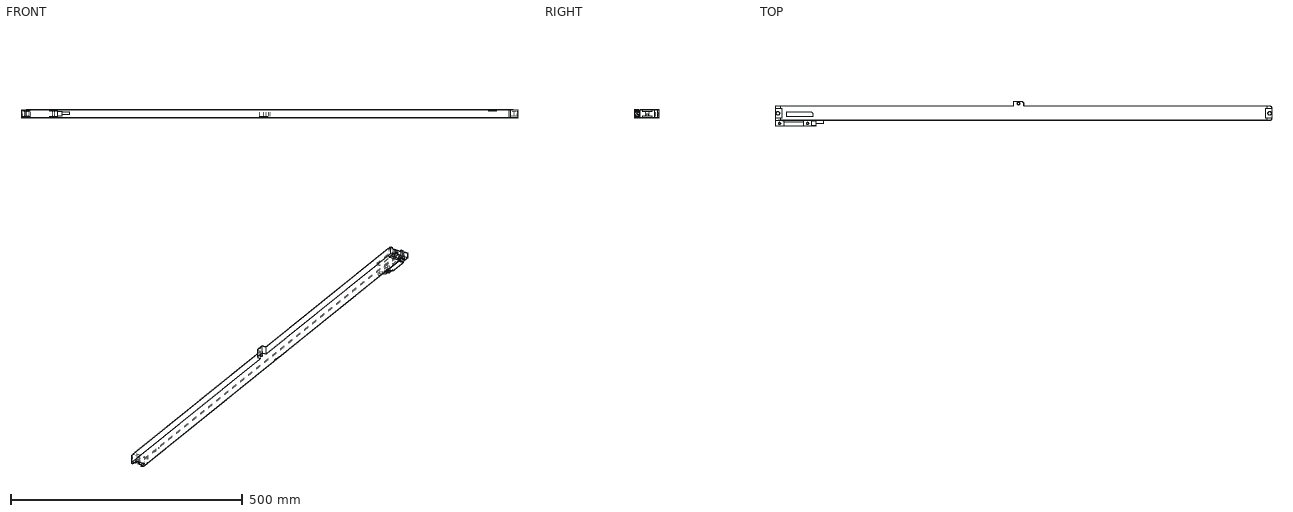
import cadquery as cq

LENGTH = 1075.0
RAIL_WIDTH = 32.0
HEIGHT = 18.0
FRONT_EDGE_CHAMFER = 1.0

LUG_WIDTH = 22.0
LUG_THICKNESS = 10.0
LUG_POCKET_LENGTH = 14.0
LUG_HOLE_DIAMETER = 8.0
LUG_SLOT_WIDTH = 5.0
LUG_HOLE_INSET = 5.0
END_CORNER_RADIUS = 6.0

CAP_LENGTH = 11.0
CAP_STEP = 0.9
GROOVE_INSET = 16.0
GROOVE_WIDTH = 3.0
GROOVE_DEPTH = 0.5

RECESS_START = 25.0
RECESS_LENGTH = 57.0
RECESS_WIDTH = 10.0
RECESS_CENTRE_Y = 14.0
RECESS_DEPTH = 1.0
RECESS_CORNER = 3.0

BRACKET_START = 515.0
BRACKET_LENGTH = 23.0
BRACKET_DEPTH = 10.0
BRACKET_CORNER = 3.0
BRACKET_HOLE_DIAMETER = 5.0

NOTCH_LENGTH = 17.0
NOTCH_HEIGHT = 3.0
NOTCH_DEPTH = 0.5
TOP_NOTCH_START = 1010.0

HEAD_DEPTH = 12.0
HEAD_LENGTH = 78.0
HEAD_BOX_START = 18.0
HEAD_BOX_END = 61.0
EAR_HEIGHT = 12.0
EAR_HOLE_DIAMETER = 4.0
SHOULDER_WIDTH = 3.0
SHOULDER_DROP = 1.0

GLAND_DIAMETER = 11.0
GLAND_LENGTH = 10.0
CABLE_DIAMETER = 6.0
CABLE_END = 104.0
CABLE_CENTRE_Z = 10.2


def block(x, y, z, length, width, height):
    """Box with its lowest corner at (x, y, z)."""
    return cq.Workplane("XY").box(length, width, height, centered=False).translate((x, y, z))


def rod_along_x(x, y, z, diameter, length):
    """Cylinder along +X starting at (x, y, z)."""
    return cq.Workplane("YZ", origin=(x, y, z)).circle(diameter / 2).extrude(length)


def rail_bar():
    """Bar with chamfered front edges and rounded corners at its +X end."""
    bar = block(0, 0, 0, LENGTH, RAIL_WIDTH, HEIGHT)
    bar = bar.edges("|X and <Y").chamfer(FRONT_EDGE_CHAMFER)
    return bar.edges("|Z and >X").fillet(END_CORNER_RADIUS)


def lug_cuts(outer_x, inward):
    """Pockets, mounting hole and open slot of the lug ending at outer_x; inward is +1 or -1 along X."""
    pocket_depth = (HEIGHT - LUG_THICKNESS) / 2
    pocket_y = (RAIL_WIDTH - LUG_WIDTH) / 2
    pocket_x = min(outer_x, outer_x + inward * LUG_POCKET_LENGTH)
    hole_x = outer_x + inward * LUG_HOLE_INSET
    slot_y = (RAIL_WIDTH - LUG_SLOT_WIDTH) / 2

    cuts = cq.Workplane("XY").center(hole_x, RAIL_WIDTH / 2).circle(LUG_HOLE_DIAMETER / 2).extrude(HEIGHT)
    for z in (0, HEIGHT - pocket_depth):
        cuts = cuts.union(block(pocket_x, pocket_y, z, LUG_POCKET_LENGTH, LUG_WIDTH, pocket_depth))
    slot = block(min(outer_x, hole_x), slot_y, 0, LUG_HOLE_INSET, LUG_SLOT_WIDTH, HEIGHT / 2)
    return cuts.union(slot)


def cap_cuts(outer_x, inward):
    """Step in the top face and groove in the front face of the cap ending at outer_x."""
    step_x = min(outer_x, outer_x + inward * CAP_LENGTH)
    groove_x = outer_x + inward * (GROOVE_INSET + GROOVE_WIDTH / 2) - GROOVE_WIDTH / 2
    step = block(step_x, 0, HEIGHT - CAP_STEP, CAP_LENGTH, RAIL_WIDTH, CAP_STEP)
    return step.union(block(groove_x, 0, 0, GROOVE_WIDTH, GROOVE_DEPTH, HEIGHT))


def top_recess():
    """Shallow rectangular recess with a cut corner at its +X, +Y end."""
    recess = block(
        RECESS_START, RECESS_CENTRE_Y - RECESS_WIDTH / 2, HEIGHT - RECESS_DEPTH,
        RECESS_LENGTH, RECESS_WIDTH, RECESS_DEPTH,
    )
    return recess.edges("|Z and >X and >Y").chamfer(RECESS_CORNER)


def middle_bracket():
    """Full-height block on the back face with one cut corner and an upright hole."""
    bracket = block(BRACKET_START, RAIL_WIDTH, 0, BRACKET_LENGTH, BRACKET_DEPTH, HEIGHT)
    bracket = bracket.edges("|Z and >X and >Y").chamfer(BRACKET_CORNER)
    hole_x = BRACKET_START + BRACKET_LENGTH / 2
    hole_y = RAIL_WIDTH + BRACKET_DEPTH / 2
    hole = cq.Workplane("XY").center(hole_x, hole_y).circle(BRACKET_HOLE_DIAMETER / 2).extrude(HEIGHT)
    return bracket.cut(hole)


def front_notch(x, z):
    """Small shallow notch in the front face, with its lower left corner at (x, z)."""
    return block(x, 0, z, NOTCH_LENGTH, NOTCH_DEPTH, NOTCH_HEIGHT)


def make_rail():
    rail = rail_bar().union(middle_bracket()).cut(top_recess())
    for outer_x, inward in ((0, 1), (LENGTH, -1)):
        rail = rail.cut(lug_cuts(outer_x, inward)).cut(cap_cuts(outer_x, inward))
    rail = rail.cut(front_notch(BRACKET_START, 0))
    return rail.cut(front_notch(TOP_NOTCH_START, HEIGHT - NOTCH_HEIGHT))


def make_reading_head():
    """Box with a shoulder along the rail, between two lower ears, and a cable outlet."""
    ear_z = (HEIGHT - EAR_HEIGHT) / 2
    box = block(HEAD_BOX_START, -HEAD_DEPTH, 0, HEAD_BOX_END - HEAD_BOX_START, HEAD_DEPTH, HEIGHT)
    shoulder = block(HEAD_BOX_START, -SHOULDER_WIDTH, HEIGHT - SHOULDER_DROP,
                     HEAD_BOX_END - HEAD_BOX_START, SHOULDER_WIDTH, SHOULDER_DROP)
    ears = block(0, -HEAD_DEPTH, ear_z, HEAD_LENGTH, HEAD_DEPTH, EAR_HEIGHT)

    hole_places = [(x, -HEAD_DEPTH / 2) for x in (HEAD_BOX_START / 2, (HEAD_BOX_END + HEAD_LENGTH) / 2)]
    ear_holes = cq.Workplane("XY").pushPoints(hole_places).circle(EAR_HOLE_DIAMETER / 2).extrude(HEIGHT)

    gland = rod_along_x(HEAD_LENGTH, -HEAD_DEPTH / 2, HEIGHT / 2, GLAND_DIAMETER, GLAND_LENGTH)
    cable_start = HEAD_LENGTH + GLAND_LENGTH
    cable_y = -CABLE_DIAMETER / 2
    cable = rod_along_x(cable_start, cable_y, CABLE_CENTRE_Z, CABLE_DIAMETER, CABLE_END - cable_start)
    return box.cut(shoulder).union(ears).cut(ear_holes).union(gland).union(cable)


rail = make_rail()
reading_head = make_reading_head()
result = cq.Compound.makeCompound([rail.val(), reading_head.val()])